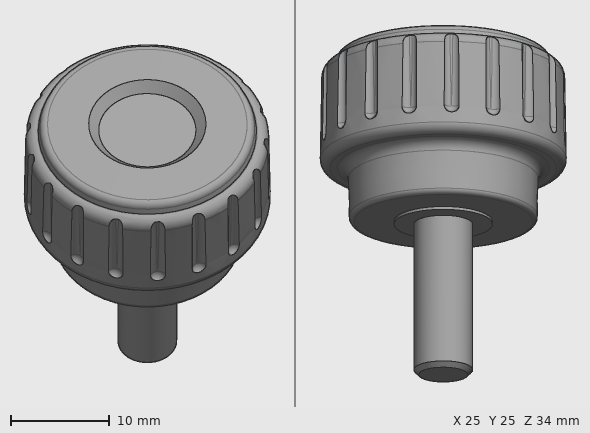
import cadquery as cq
import math

stud_radius = 3.0
stud_length = 16.0
tip_chamfer = 0.5
collar_radius = 5.0
collar_height = 0.3

hub_bottom = stud_length + collar_height
barrel_bottom = 21.93
barrel_top = 32.72
crown_edge_height = 33.85
knob_top = 33.95

hub_bottom_radius = 9.55
hub_top_radius = 9.65
hub_edge_round = 0.5
neck_round = 1.12
knob_diameter = 24.95
barrel_bottom_radius = knob_diameter / 2
barrel_bottom_round = 1.0
barrel_top_radius = 12.32
barrel_top_round = 1.2
crown_base_radius = 11.05
crown_side_radius = 10.9
crown_edge_radius = 10.1
crown_side_height = 33.25

recess_rim_radius = 5.95
recess_floor_radius = 4.92
recess_depth = 1.0
recess_floor = knob_top - recess_depth

flute_count = 18
first_flute_angle = 90
flute_radius = 0.8
flute_axis_radius = 12.7
flute_bottom = 24.78
flute_strip_width = 0.3
flute_strip_start = 0.17


def quarter_round(profile, corner, start, end):
    """Add an arc from start to end that bulges toward the sharp corner it replaces."""
    centre = (start[0] + end[0] - corner[0], start[1] + end[1] - corner[1])
    bulge = math.sqrt(0.5)
    middle = tuple(c + (k - c) * bulge for c, k in zip(centre, corner))
    return profile.lineTo(*start).threePointArc(middle, end)


def make_insert():
    """Stud and collar in one piece; the collar seats against the underside of the knob."""
    stud = (
        cq.Workplane("XY")
        .circle(stud_radius)
        .extrude(stud_length)
        .faces("<Z")
        .chamfer(tip_chamfer)
    )
    collar = (
        cq.Workplane("XY", origin=(0, 0, stud_length))
        .circle(collar_radius)
        .extrude(collar_height)
    )
    return stud.union(collar)


def make_knob_blank():
    """Revolved knob: hub, barrel and crown with its dished recess."""
    profile = cq.Workplane("XZ").moveTo(0, hub_bottom)
    profile = quarter_round(
        profile,
        (hub_bottom_radius, hub_bottom),
        (hub_bottom_radius - hub_edge_round, hub_bottom),
        (hub_bottom_radius, hub_bottom + hub_edge_round),
    )
    profile = quarter_round(
        profile,
        (hub_top_radius, barrel_bottom),
        (hub_top_radius, barrel_bottom - neck_round),
        (hub_top_radius + neck_round, barrel_bottom),
    )
    profile = quarter_round(
        profile,
        (barrel_bottom_radius, barrel_bottom),
        (barrel_bottom_radius - barrel_bottom_round, barrel_bottom),
        (barrel_bottom_radius, barrel_bottom + barrel_bottom_round),
    )
    profile = quarter_round(
        profile,
        (barrel_top_radius, barrel_top),
        (barrel_top_radius, barrel_top - barrel_top_round),
        (barrel_top_radius - barrel_top_round, barrel_top),
    )
    profile = profile.lineTo(crown_base_radius, barrel_top)
    profile = quarter_round(
        profile,
        (crown_side_radius, crown_edge_height),
        (crown_side_radius, crown_side_height),
        (crown_edge_radius, crown_edge_height),
    )
    return (
        profile.lineTo(recess_rim_radius, knob_top)
        .lineTo(recess_floor_radius, recess_floor)
        .lineTo(0, recess_floor)
        .close()
        .revolve(360, (0, 0, 0), (0, 1, 0))
    )


def make_flute(angle):
    """Round-bottomed cutter, open at the top and ending in a ball at the lower end.

    A flat strip, leaning slightly outward toward the top, runs down the floor of the groove
    and narrows to a point near the ball.
    """
    length = barrel_top - flute_bottom
    half_strip = flute_strip_width / 2
    strip_rise = flute_radius - math.sqrt(flute_radius**2 - half_strip**2)
    strip_slope = strip_rise / (length - flute_strip_start)
    trim_bottom = -2 * flute_radius
    trim_top = length + flute_radius

    def floor_point(height):
        return -flute_radius + strip_slope * (height - flute_strip_start), height

    floor_trim = (
        cq.Workplane("XZ")
        .moveTo(*floor_point(trim_bottom))
        .lineTo(2 * flute_radius, trim_bottom)
        .lineTo(2 * flute_radius, trim_top)
        .lineTo(*floor_point(trim_top))
        .close()
        .extrude(2 * flute_radius, both=True)
    )
    shaft = cq.Workplane("XY").circle(flute_radius).extrude(length)
    ball = cq.Workplane("XY").sphere(flute_radius)
    cutter = shaft.union(ball).intersect(floor_trim)
    cutter = cutter.translate((flute_axis_radius, 0, flute_bottom))
    return cutter.rotate((0, 0, 0), (0, 0, 1), angle)


def make_knob():
    knob = make_knob_blank()
    for index in range(flute_count):
        knob = knob.cut(make_flute(first_flute_angle + index * 360 / flute_count))
    return knob


insert = make_insert()
knob = make_knob()

result = cq.Compound.makeCompound([insert.val(), knob.val()])